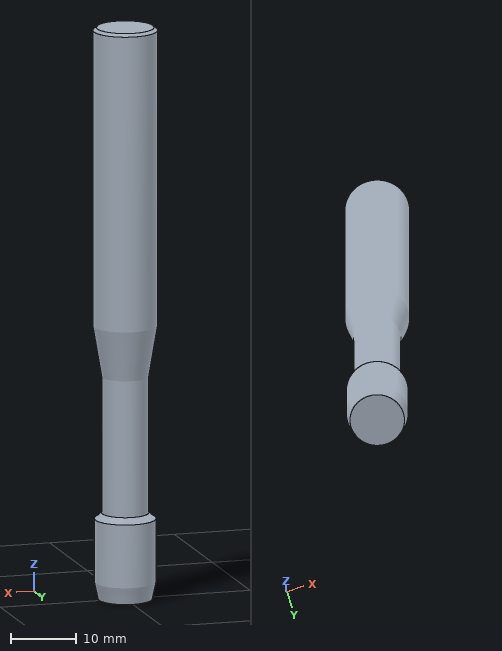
import cadquery as cq

total_length = 90.0
shank_diameter = 10.0
neck_diameter = 7.3
head_diameter = 9.5
head_tip_diameter = 8.4

lead_in_height = 2.7
head_land_top = 12.7
head_top = 13.6
taper_bottom = 35.0
taper_top = 43.0

top_chamfer_inset = 0.5
top_chamfer_height = 0.45

shank_radius = shank_diameter / 2
neck_radius = neck_diameter / 2
head_radius = head_diameter / 2
head_tip_radius = head_tip_diameter / 2


def revolve_profile(points):
    """Turn a closed (radius, height) outline about the Z axis."""
    return cq.Workplane("XZ").polyline(points).close().revolve(360, (0, 0), (0, 1))


def make_shank():
    """Chamfered shank tapering down to a slim neck that stands on the head."""
    return revolve_profile([
        (0, head_top),
        (neck_radius, head_top),
        (neck_radius, taper_bottom),
        (shank_radius, taper_top),
        (shank_radius, total_length - top_chamfer_height),
        (shank_radius - top_chamfer_inset, total_length),
        (0, total_length),
    ])


def make_head():
    """Head with a conical lead-in below and a conical shoulder up to the neck."""
    return revolve_profile([
        (0, 0),
        (head_tip_radius, 0),
        (head_radius, lead_in_height),
        (head_radius, head_land_top),
        (neck_radius, head_top),
        (0, head_top),
    ])


shank = make_shank()
head = make_head()

result = cq.Compound.makeCompound([shank.val(), head.val()])